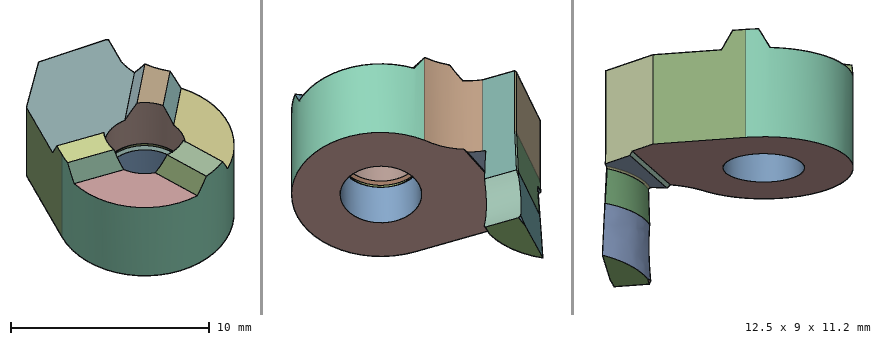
import cadquery as cq
import math

hub_radius = 4.5
hub_height = 4.8
hole_radius = 2.05
groove_depth = 0.15
groove_bottom = 2.47
groove_height = 0.44

arm_back = 1.16
blend_start_x = -6.0
blend_middle = (-5.03, 1.49)
blend_end_angle = math.radians(141.3)
arm_front_corner_x = -4.76
stock_left_x = -8.37
stock_front_y = -2.19

rib_count = 3
rib_height = 1.0
rib_top_half_width = 0.66
rib_side_angle = math.radians(30)
rib_base_half_width = rib_top_half_width + rib_height * math.tan(rib_side_angle)
first_rib_angle = 30

flank_back = (-7.78, 1.02)
flank_front = (-7.56, -2.69)
flank_bevel = 0.05
draft_top = 0.55
draft_bottom = -6.0
draft_slope = 1.7 / 47.7
trim_reach = 9.99

pad_depth = 0.19
pad_edge_back = (-5.1, 1.46)
pad_edge_front = (-5.98, -3.71)
pad_taper = 38

tip_top = -2.17
tip_back_corner = (1.02, -5.41)
tip_front_corner_z = -5.01
tip_back_hollow = (0.81, -3.82)
tip_chamfer_width = 0.1
tip_chamfer_height = 0.17
blade_right_x = -6.16
blade_front_y = -2.22
right_slope = 1.3 / 41.8
front_slope = 2.7 / 38.6
blade_arc_radius = 4.77
root_fillet = 0.09
tip_corner_left_x = -7.99


def arm_outline(bottom, height):
    """Plan shape of hub and arm, with the arm left long at the flank."""
    blend_end = (hub_radius * math.cos(blend_end_angle), hub_radius * math.sin(blend_end_angle))
    return (
        cq.Workplane("XY").workplane(offset=bottom)
        .moveTo(0, -hub_radius)
        .lineTo(arm_front_corner_x, -hub_radius)
        .lineTo(stock_left_x, stock_front_y)
        .lineTo(stock_left_x, arm_back)
        .lineTo(blend_start_x, arm_back)
        .threePointArc(blend_middle, blend_end)
        .threePointArc((hub_radius, 0), (0, -hub_radius))
        .close()
        .extrude(height)
    )


def flank_points(z):
    """Plan shape of the space kept by the flank at height z."""
    lean = draft_slope * max(draft_top - z, 0)
    slope = (flank_front[0] - flank_back[0]) / (flank_front[1] - flank_back[1])
    front_x = flank_back[0] + slope * (-trim_reach - flank_back[1])
    bevel_height = arm_back - flank_back[1]
    bevel_x = flank_back[0] + flank_bevel
    return [
        (front_x - lean, -trim_reach),
        (flank_back[0] - lean, flank_back[1]),
        (bevel_x - lean, flank_back[1] + bevel_height),
        (bevel_x - lean, trim_reach),
        (trim_reach, trim_reach),
        (trim_reach, -trim_reach),
    ]


def flank_space():
    """Space on the part side of the flank, used to trim arm and blade."""
    upper = (
        cq.Workplane("XY").workplane(offset=draft_top)
        .polyline(flank_points(draft_top)).close()
        .extrude(trim_reach)
    )
    lower = (
        cq.Workplane("XY").workplane(offset=draft_bottom)
        .polyline(flank_points(draft_bottom)).close()
        .workplane(offset=draft_top - draft_bottom)
        .polyline(flank_points(draft_top)).close()
        .loft(ruled=True)
    )
    return upper.union(lower)


def ribs():
    """Trapezoidal radial ribs, ending flush with the outline."""
    rib = (
        cq.Workplane("YZ")
        .polyline([
            (-rib_base_half_width, hub_height),
            (rib_base_half_width, hub_height),
            (rib_top_half_width, hub_height + rib_height),
            (-rib_top_half_width, hub_height + rib_height),
        ]).close()
        .extrude(trim_reach)
    )
    star = cq.Workplane("XY")
    for index in range(rib_count):
        angle = first_rib_angle + index * 360 / rib_count
        star = star.union(rib.rotate((0, 0, 0), (0, 0, 1), angle))
    return star.intersect(arm_outline(hub_height, rib_height))


def pad():
    """Shallow step under the arm with one sloping edge."""
    edge_x = pad_edge_front[0] - pad_edge_back[0]
    edge_y = pad_edge_front[1] - pad_edge_back[1]
    block = (
        cq.Workplane("XY").transformed(rotate=(180, 0, 0))
        .polyline([
            (pad_edge_back[0] - edge_x, -(pad_edge_back[1] - edge_y)),
            (pad_edge_front[0] + edge_x, -(pad_edge_front[1] + edge_y)),
            (-trim_reach, -(pad_edge_front[1] + edge_y)),
            (-trim_reach, -(pad_edge_back[1] - edge_y)),
        ]).close()
        .extrude(pad_depth, taper=pad_taper)
    )
    return block.intersect(arm_outline(-pad_depth, pad_depth))


def hole():
    """Through hole with a bevelled groove round its wall."""
    bore = cq.Workplane("XY").circle(hole_radius).extrude(hub_height + rib_height)
    groove_top = groove_bottom + groove_height
    groove = (
        cq.Workplane("XZ")
        .polyline([
            (0, groove_bottom),
            (hole_radius, groove_bottom),
            (hole_radius + groove_depth, groove_bottom + groove_depth),
            (hole_radius + groove_depth, groove_top - groove_depth),
            (hole_radius, groove_top),
            (0, groove_top),
        ]).close()
        .revolve(360, (0, 0), (0, 1))
    )
    return bore.union(groove)


def blade_section(plane, z):
    """Blade cross-section at height z: flat back, convex front and right side."""
    drop = -pad_depth - z
    right_x = blade_right_x + right_slope * drop
    front_y = blade_front_y - front_slope * drop
    centre_x = right_x - blade_arc_radius
    sweep = math.asin((arm_back - front_y) / blade_arc_radius)

    def arc_point(angle):
        return (centre_x + blade_arc_radius * math.cos(angle), arm_back - blade_arc_radius * math.sin(angle))

    return (
        plane.moveTo(right_x, arm_back)
        .threePointArc(arc_point(sweep / 2), arc_point(sweep))
        .lineTo(stock_left_x, front_y)
        .lineTo(stock_left_x, arm_back)
        .close()
    )


def blade(bottom, top):
    lower = blade_section(cq.Workplane("XY").workplane(offset=bottom), bottom)
    return blade_section(lower.workplane(offset=top - bottom), top).loft(ruled=True)


def tip_side_profile():
    """Side shape of the tip: hollow back and sloping end."""
    drop = -pad_depth - tip_front_corner_z
    front_y = blade_front_y - front_slope * drop
    end_slope = (tip_front_corner_z - tip_back_corner[1]) / (front_y - tip_back_corner[0])
    reach_z = tip_back_corner[1] + end_slope * (-trim_reach - tip_back_corner[0])
    return (
        cq.Workplane("YZ").workplane(offset=-trim_reach)
        .moveTo(arm_back, tip_top)
        .threePointArc(tip_back_hollow, tip_back_corner)
        .lineTo(-trim_reach, reach_z)
        .lineTo(-trim_reach, tip_top)
        .close()
        .extrude(trim_reach)
    )


def tip_corner_chamfers():
    """Wedges that break the two lower corners of the tip."""
    end_z = tip_back_corner[1]
    right_x = blade_right_x + right_slope * (-pad_depth - end_z)
    wedges = cq.Workplane("XY")
    for corner_x, inward in ((tip_corner_left_x, 1), (right_x, -1)):
        wedge = (
            cq.Workplane("XZ").workplane(offset=-trim_reach)
            .polyline([
                (corner_x - inward * tip_chamfer_width, end_z + 2 * tip_chamfer_height),
                (corner_x + inward * tip_chamfer_width, end_z),
                (corner_x - inward * tip_chamfer_width, end_z),
            ]).close()
            .extrude(2 * trim_reach)
        )
        wedges = wedges.union(wedge)
    return wedges


def make_holder():
    shank = blade(tip_top, 0)
    stock = arm_outline(0, hub_height).union(ribs()).union(pad()).union(shank)
    root = cq.selectors.BoxSelector(
        (stock_left_x, blade_front_y - root_fillet, -pad_depth - root_fillet / 2),
        (blade_right_x - root_fillet, 0, -pad_depth + root_fillet / 2),
    )
    stock = stock.edges(root).fillet(root_fillet)
    return stock.intersect(flank_space()).cut(hole())


def make_tip():
    stock = blade(draft_bottom, tip_top).intersect(tip_side_profile())
    return stock.intersect(flank_space()).cut(tip_corner_chamfers())


holder = make_holder()
tip = make_tip()
result = cq.Compound.makeCompound([holder.val(), tip.val()])